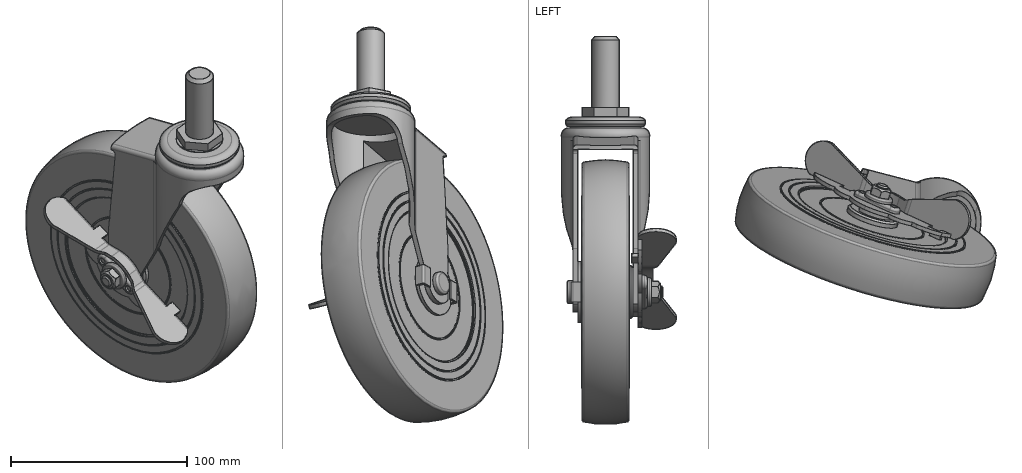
import cadquery as cq
import math


overall_height = 219.9
wheel_radius = 75.0
stem_top = overall_height - wheel_radius

wheel_half_width = 13.5
crown_drop = 1.5
tread_fillet = 1.5
rim_radius = 54.8
rim_raise = 0.2
web_radius = 44.0
web_y = 12.0
rim_ring_radii = (49.7, rim_radius)
web_ring_radius = 30.5
ring_width = 0.9
ring_depth = 0.7
hub_radius = 15.0
hub_chamfer = 1.0
rim_face_y = wheel_half_width + rim_raise

stem_x = 42.2
sheet = 2.9
bridge_sheet = 2.5
leg_inner_y = 15.6
leg_outer_y = leg_inner_y + sheet
leg_end_radius = 11.2
front_lean = 5.2
rear_lean = 26.5
rear_straight_top = 68.8
bridge_nose_x = -9.0
bridge_nose_z = 83.1
bridge_nose_sag = 1.8
bridge_slope = 9.4
bend_radius = 2.2
notch_radius = 2.2
head_radius = 25.0
head_flat_radius = 21.5
head_top = 93.0
head_shoulder = 88.0
skirt_bottom = 83.8
skirt_arch_middle = (51.7, 78.5)
skirt_arch_end_x = 61.3
flare_fillet = 4.5
flare_top = 85.8

stem_radius = 8.0
stem_chamfer = 2.0
hex_flats = 22.9
hex_top = 104.7
collar_height = 0.5
race_top = 99.2
race_radius = 22.6
race_flat_radius = 18.3
race_shoulder_point = (20.9, 98.7)
race_rim_top = 97.2
race_rim_bottom = 95.2
race_bottom = 93.7
race_lower_radius = 21.5
race_neck_radius = 20.2

axle_radius = 3.5
axle_end_y = -32.5
axle_chamfer = 0.9
axle_head_radius = 6.5
axle_head_y = 21.8
axle_head_fillet = 1.3
washer_radius = 8.1
washer_front_y = -26.2
washer_fillet = 1.0
nut_corner_radius = 6.2
nut_front_y = -31.2
nut_taper = 1.5
nut_turn = 30.0

lever_angle = 30.0
lever_sheet = 2.2
flange_outer_v = 9.7
hump_v = 14.3
hump_half_length = 15.5
hump_shoulder_u = 7.3
hump_shoulder_v = 13.0
hump_blend = 6.5
lever_bend = 2.0
wing_reach = 55.5
wing_front_y = -40.0
wing_front_u = 42.5
wing_back_u = 49.5
wing_tip_y = -28.5
wing_root_u = 16.3
wing_root_y = -29.7
plate_end_u = 46.8
plate_corner_v = 7.5
plate_shoulder = (43.5, 2.5)
plate_outer_scallop = (37.0, -1.8)
plate_outer_notch = (30.0, -3.7)
plate_inner_notch = (26.5, -3.5)
plate_lobe = (21.0, -8.0)
plate_cusp = (13.2, -8.4)
plate_belly_v = -13.5
plate_belly_radius = 19.8
hump_front_u = 11.5
hump_front_y = -27.0
tab_inner_y = -14.7
tab_centres_u = (-23.3, 37.4)
tab_width = 7.0
window_low_v = 2.9
boss_height = 3.0
boss_end_u = 10.8
boss_radius = 4.2
boss_fillet = 1.8
boss_recess_radius = 2.0
boss_recess_depth = 1.3

clip_radius = 17.4
clip_half_width = 5.7
clip_arm = 1.8
clip_tip_x = 10.5
clip_tip = 1.0
clip_back_y = 13.9


def y_cylinder(radius, y_start, y_end):
    """Cylinder on the axle line from y_start up to y_end."""
    disc = cq.Workplane("XZ", origin=(0, y_end, 0)).circle(radius)
    return disc.extrude(y_end - y_start)


def ring_grooves(radius, surface_y, clearance):
    """Matching ring grooves on both sides of the wheel, cut into faces at +-surface_y."""
    outer = radius + ring_width / 2
    inner = radius - ring_width / 2
    top = surface_y + clearance
    floor = surface_y - ring_depth
    tube = y_cylinder(outer, -top, top).cut(y_cylinder(inner, -top, top))
    return tube.cut(y_cylinder(outer, -floor, floor))


def make_wheel():
    edge_radius = wheel_radius - crown_drop
    tread = (
        cq.Workplane("XY")
        .moveTo(0, -wheel_half_width)
        .lineTo(edge_radius, -wheel_half_width)
        .threePointArc((wheel_radius, 0), (edge_radius, wheel_half_width))
        .lineTo(0, wheel_half_width)
        .close()
        .revolve(360, (0, 0), (0, 1))
    )
    wheel = tread.edges(cq.selectors.RadiusNthSelector(-1)).fillet(tread_fillet)
    wheel = wheel.union(y_cylinder(rim_radius, -rim_face_y, rim_face_y))
    web_depth = rim_face_y - web_y
    for radius in rim_ring_radii:
        wheel = wheel.cut(ring_grooves(radius, wheel_half_width, rim_raise))
    wheel = wheel.cut(ring_grooves(web_radius, wheel_half_width, rim_raise))
    recess = y_cylinder(web_radius - ring_width / 2, -rim_face_y, rim_face_y)
    recess = recess.cut(y_cylinder(web_radius, -web_y, web_y))
    wheel = wheel.cut(recess).cut(ring_grooves(web_ring_radius, web_y, web_depth))
    hub = y_cylinder(hub_radius, -leg_inner_y, clip_back_y).faces("<Y").chamfer(hub_chamfer)
    return wheel.union(hub).cut(y_cylinder(axle_radius, -leg_inner_y, clip_back_y))


def channel(half_width, drop):
    """Block under the sloping bridge, from its nose to the stem axis."""
    rise = math.tan(math.radians(bridge_slope)) * (stem_x - bridge_nose_x)
    bottom = -2 * leg_end_radius
    nose_top = bridge_nose_z - drop
    return (
        cq.Workplane("XZ", origin=(0, half_width, 0))
        .moveTo(bridge_nose_x, bottom)
        .lineTo(bridge_nose_x, nose_top)
        .lineTo(stem_x, nose_top + rise)
        .lineTo(stem_x, bottom)
        .close()
        .extrude(2 * half_width)
    )


def swivel_head():
    """Domed round body on the stem axis, before it is hollowed."""
    side = head_radius - head_flat_radius
    height = head_top - head_shoulder
    dome_middle = (
        head_flat_radius + side * math.sin(math.pi / 4),
        head_shoulder + height * math.sin(math.pi / 4),
    )
    return (
        cq.Workplane("XZ")
        .moveTo(0, -2 * leg_end_radius)
        .lineTo(head_radius, -2 * leg_end_radius)
        .lineTo(head_radius, head_shoulder)
        .threePointArc(dome_middle, (head_flat_radius, head_top))
        .lineTo(0, head_top)
        .close()
        .revolve(360, (0, 0), (0, 1))
        .translate((stem_x, 0, 0))
    )


def flare(side):
    """Concave upright blend from the flat leg into the round head, on one side."""
    centre_y = leg_outer_y + flare_fillet
    reach = head_radius + flare_fillet
    centre_x = stem_x - math.sqrt(reach**2 - centre_y**2)
    head_share = head_radius / reach
    head_tangent = (stem_x + (centre_x - stem_x) * head_share, side * centre_y * head_share)
    towards_x = stem_x - centre_x
    bulge_angle = (math.atan2(-centre_y, towards_x) - math.pi / 2) / 2
    blend_middle = (
        centre_x + flare_fillet * math.cos(bulge_angle),
        side * (centre_y + flare_fillet * math.sin(bulge_angle)),
    )
    return (
        cq.Workplane("XY", origin=(0, 0, -2 * leg_end_radius))
        .moveTo(centre_x, side * leg_outer_y)
        .threePointArc(blend_middle, head_tangent)
        .lineTo(stem_x, side * leg_inner_y)
        .lineTo(centre_x, side * leg_inner_y)
        .close()
        .extrude(flare_top + 2 * leg_end_radius)
    )


def fork_side_outline():
    """Side silhouette of the fork as a slab wider than the fork."""
    front = math.radians(front_lean)
    rear = math.radians(rear_lean)
    front_tangent = (-leg_end_radius * math.cos(front), leg_end_radius * math.sin(front))
    rear_tangent = (leg_end_radius * math.cos(rear), -leg_end_radius * math.sin(rear))
    bridge_bottom = bridge_nose_z - bridge_sheet
    notch_z = bridge_bottom - notch_radius
    notch_x = front_tangent[0] + (notch_z - front_tangent[1]) * math.tan(front)
    arch_start_x = rear_tangent[0] + (rear_straight_top - rear_tangent[1]) * math.tan(rear)
    right_x = stem_x + 2 * head_radius
    half_width = 2 * head_radius
    return (
        cq.Workplane("XZ", origin=(0, half_width, 0))
        .moveTo(*front_tangent)
        .threePointArc((0, -leg_end_radius), rear_tangent)
        .lineTo(arch_start_x, rear_straight_top)
        .threePointArc(skirt_arch_middle, (skirt_arch_end_x, skirt_bottom))
        .lineTo(right_x, skirt_bottom)
        .lineTo(right_x, race_top)
        .lineTo(bridge_nose_x, race_top)
        .lineTo(bridge_nose_x, bridge_bottom)
        .lineTo(notch_x - notch_radius, bridge_bottom)
        .radiusArc((notch_x, notch_z), notch_radius)
        .close()
        .extrude(2 * half_width)
    )


def bridge_plan():
    """Tall block whose bowed end gives the bridge its curved nose."""
    side_x = bridge_nose_x + bridge_nose_sag
    half_width = 2 * head_radius
    right_x = stem_x + half_width
    return (
        cq.Workplane("XY", origin=(0, 0, -wheel_radius))
        .moveTo(side_x, -leg_outer_y)
        .threePointArc((bridge_nose_x, 0), (side_x, leg_outer_y))
        .lineTo(side_x, half_width)
        .lineTo(right_x, half_width)
        .lineTo(right_x, -half_width)
        .lineTo(side_x, -half_width)
        .close()
        .extrude(overall_height)
    )


def make_fork():
    outside = channel(leg_outer_y, 0).faces(">Z").edges("not |Y").fillet(bend_radius)
    outside = outside.union(swivel_head())
    for side in (-1, 1):
        outside = outside.union(flare(side))
    cavity_depth = 2 * leg_end_radius + head_top - sheet
    cavity = (
        cq.Workplane("XY", origin=(stem_x, 0, -2 * leg_end_radius))
        .circle(head_radius - sheet)
        .extrude(cavity_depth)
    )
    fork = outside.cut(channel(leg_inner_y, bridge_sheet)).cut(cavity)
    fork = fork.intersect(fork_side_outline())
    nose_zone = cq.Workplane("XY").box(
        stem_x, 2 * leg_outer_y, 4 * bend_radius, centered=(True, True, False)
    ).translate((bridge_nose_x, 0, bridge_nose_z - 2 * bend_radius))
    fork = fork.cut(nose_zone.cut(bridge_plan()))
    return fork.cut(y_cylinder(axle_radius, -leg_outer_y, leg_outer_y))


def make_stem():
    race = (
        cq.Workplane("XZ")
        .moveTo(0, head_top)
        .lineTo(race_neck_radius, head_top)
        .lineTo(race_neck_radius, race_bottom)
        .lineTo(race_lower_radius, race_bottom)
        .lineTo(race_radius, race_rim_bottom)
        .lineTo(race_radius, race_rim_top)
        .threePointArc(race_shoulder_point, (race_flat_radius, race_top))
        .lineTo(0, race_top)
        .close()
        .revolve(360, (0, 0), (0, 1))
    )
    corner_diameter = hex_flats / math.cos(math.pi / 6)
    collar = cq.Workplane("XY", origin=(0, 0, race_top)).circle(corner_diameter / 2).extrude(collar_height)
    hexagon = (
        cq.Workplane("XY", origin=(0, 0, race_top))
        .transformed(rotate=(0, 0, 90))
        .polygon(6, corner_diameter)
        .extrude(hex_top - race_top)
    )
    post = (
        cq.Workplane("XY", origin=(0, 0, hex_top))
        .circle(stem_radius)
        .extrude(stem_top - hex_top)
        .faces(">Z")
        .chamfer(stem_chamfer)
    )
    return race.union(collar).union(hexagon).union(post).translate((stem_x, 0, 0))


def make_axle():
    lever_front_y = -leg_outer_y - lever_sheet
    washer_back_y = lever_front_y - boss_height
    shank = y_cylinder(axle_radius, axle_end_y, leg_outer_y).faces("<Y").chamfer(axle_chamfer)
    head = y_cylinder(axle_head_radius, leg_outer_y, axle_head_y)
    head = head.faces(">Y").edges().fillet(axle_head_fillet)
    washer = y_cylinder(washer_radius, washer_front_y, washer_back_y)
    washer = washer.faces("<Y").edges().fillet(washer_fillet)
    nut = (
        cq.Workplane("XZ", origin=(0, washer_front_y, 0))
        .transformed(rotate=(0, 0, nut_turn))
        .polygon(6, 2 * nut_corner_radius)
        .extrude(washer_front_y - nut_front_y)
    )
    nut_cone = y_cylinder(nut_corner_radius, nut_front_y, washer_front_y).faces("<Y").chamfer(nut_taper)
    return shank.union(head).union(washer).union(nut.intersect(nut_cone))


def flange_edge(offset):
    """Region below the flange line moved down by offset, wide as the lever."""
    line_v = flange_outer_v - offset
    depth = leg_outer_y - wing_front_y
    low_v = -wing_reach
    block = (
        cq.Workplane("XZ", origin=(0, -leg_outer_y, 0))
        .moveTo(-wing_reach, low_v)
        .lineTo(-wing_reach, line_v)
        .lineTo(-hump_half_length, line_v)
        .lineTo(-hump_shoulder_u, hump_shoulder_v - offset)
        .threePointArc((0, hump_v - offset), (hump_shoulder_u, hump_shoulder_v - offset))
        .lineTo(hump_half_length, line_v)
        .lineTo(wing_reach, line_v)
        .lineTo(wing_reach, low_v)
        .close()
        .extrude(depth)
    )
    for side in (-1, 1):
        corner = (side * hump_half_length, -leg_outer_y - depth / 2, line_v)
        block = block.edges(cq.selectors.NearestToPointSelector(corner)).fillet(hump_blend)
    return block


def flange_plan():
    """Plan of the flange: two rounded wings joined by a narrow hump."""
    wing = (
        cq.Workplane("XY", origin=(0, 0, -wing_reach))
        .moveTo(0, -leg_outer_y)
        .lineTo(wing_back_u, -leg_outer_y)
        .threePointArc((wing_reach, wing_tip_y), (wing_front_u, wing_front_y))
        .lineTo(wing_root_u, wing_root_y)
        .lineTo(hump_front_u, hump_front_y)
        .lineTo(0, hump_front_y)
        .close()
        .extrude(2 * wing_reach)
    )
    return wing.union(wing.mirror("YZ"))


def lever_plate():
    """Flat plate hanging from the flange, with a scalloped lower edge."""
    top_v = hump_v + lever_sheet
    half = (
        cq.Workplane("XZ", origin=(0, -leg_outer_y, 0))
        .moveTo(0, top_v)
        .lineTo(plate_end_u, top_v)
        .lineTo(plate_end_u, plate_corner_v)
        .lineTo(*plate_shoulder)
        .threePointArc(plate_outer_scallop, plate_outer_notch)
        .lineTo(*plate_inner_notch)
        .threePointArc(plate_lobe, plate_cusp)
        .radiusArc((0, plate_belly_v), plate_belly_radius)
        .lineTo(0, top_v)
        .close()
        .extrude(lever_sheet)
    )
    return half.union(half.mirror("YZ"))


def make_lever():
    front_y = -leg_outer_y - lever_sheet
    boss_front_y = front_y - boss_height
    under_flange_v = flange_outer_v - lever_sheet
    outer = flange_edge(0)
    back_edges = outer.faces(">Y").edges(cq.selectors.BoxSelector(
        (-wing_reach, -leg_outer_y - lever_bend, under_flange_v),
        (wing_reach, -leg_outer_y + lever_bend, hump_v + lever_bend),
    ))
    outer = back_edges.fillet(lever_bend)
    flange = outer.cut(flange_edge(lever_sheet)).intersect(flange_plan())
    lever = flange.union(lever_plate().intersect(outer))
    window_height = under_flange_v - window_low_v
    for centre_u in tab_centres_u:
        tab = cq.Workplane("XY").box(
            tab_width, tab_inner_y - front_y, lever_sheet, centered=(True, False, False)
        )
        window = cq.Workplane("XY").box(
            tab_width, lever_sheet, window_height, centered=(True, False, False)
        )
        lever = lever.cut(window.translate((centre_u, front_y, window_low_v)))
        lever = lever.union(tab.translate((centre_u, front_y, under_flange_v)))
    boss = (
        cq.Workplane("XZ", origin=(0, front_y, 0))
        .slot2D(2 * (boss_end_u + boss_radius), 2 * boss_radius)
        .extrude(boss_height)
        .faces("<Y")
        .edges()
        .fillet(boss_fillet)
    )
    lever = lever.union(boss)
    for side in (-1, 1):
        dimple = y_cylinder(boss_recess_radius, boss_front_y, boss_front_y + boss_recess_depth)
        lever = lever.cut(dimple.translate((side * boss_end_u, 0, 0)))
    lever = lever.cut(y_cylinder(axle_radius, boss_front_y, -leg_outer_y))
    return lever.rotate((0, 0, 0), (0, 1, 0), lever_angle)


def make_clip():
    tip_y = leg_outer_y + clip_tip
    clip = y_cylinder(clip_radius, clip_back_y, leg_inner_y)
    arm_x = clip_radius - clip_arm
    for side in (-1, 1):
        hook = (
            cq.Workplane("XY", origin=(0, 0, -clip_half_width))
            .moveTo(side * arm_x, clip_back_y)
            .lineTo(side * clip_radius, clip_back_y)
            .lineTo(side * clip_radius, tip_y)
            .lineTo(side * clip_tip_x, tip_y)
            .lineTo(side * clip_tip_x, leg_outer_y)
            .lineTo(side * arm_x, leg_outer_y)
            .close()
            .extrude(2 * clip_half_width)
        )
        corner = (side * clip_radius, tip_y, 0)
        hook = hook.edges(cq.selectors.NearestToPointSelector(corner)).fillet(clip_tip)
        clip = clip.union(hook)
    return clip.cut(y_cylinder(axle_radius, clip_back_y, leg_inner_y))


wheel = make_wheel()
fork = make_fork()
stem = make_stem()
axle = make_axle()
lever = make_lever()
clip = make_clip()

result = cq.Compound.makeCompound(
    [body.solids().val() for body in (wheel, fork, stem, axle, lever, clip)]
)